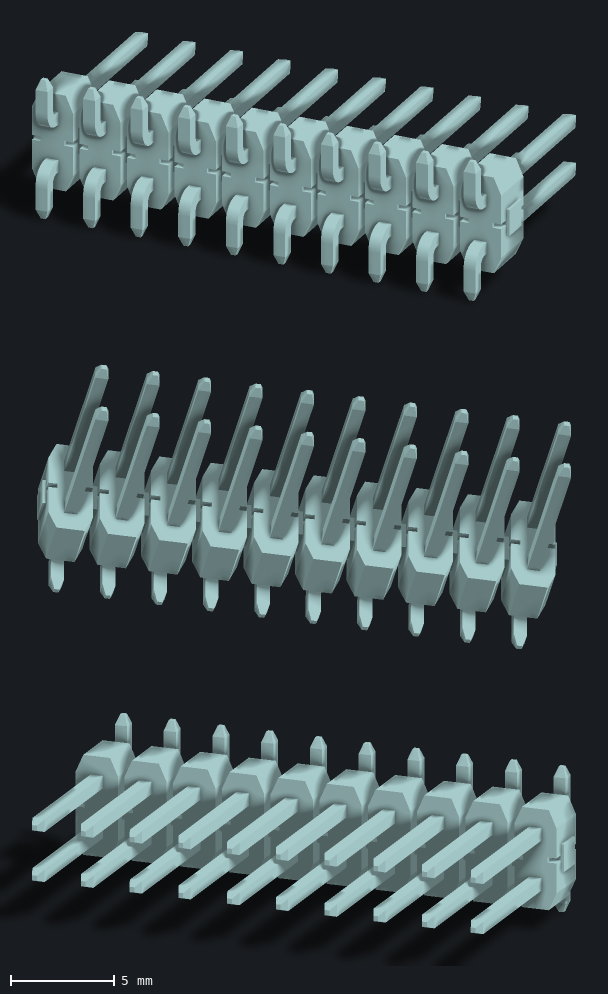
import cadquery as cq

PITCH = 2.54
COLUMNS = 10

BLOCK_WIDTH = 2.2
BLOCK_DEPTH = PITCH
BLOCK_HEIGHT = 2 * PITCH
CHAMFER_X = 0.4
CHAMFER_Z = 0.89
NOTCH_DEPTH = 0.46
NOTCH_HEIGHT = 0.25

BAR_SIZE = 1.4
BAR_LENGTH = COLUMNS * PITCH

PIN_SIZE = 0.635
PIN_REAR_LENGTH = 8.13
TAIL_REACH = 1.27
OVERALL_HEIGHT = 7.37
BEND_INNER_RADIUS = 0.381
TIP_LENGTH = 0.508
TIP_SIZE = 0.254

BEND_OUTER_RADIUS = BEND_INNER_RADIUS + PIN_SIZE
BLOCK_FRONT = -BLOCK_DEPTH / 2
PIN_REAR_END = BLOCK_DEPTH / 2 + PIN_REAR_LENGTH
TAIL_FRONT = BLOCK_FRONT - TAIL_REACH
TAIL_CENTER = TAIL_FRONT + PIN_SIZE / 2
ROW_Z = PITCH / 2
TAIL_END = OVERALL_HEIGHT / 2


def make_block():
    """One insulator block with chamfered long edges and a notch in each side."""
    side = BLOCK_WIDTH / 2
    top = BLOCK_HEIGHT / 2
    flat = side - CHAMFER_X
    shoulder = top - CHAMFER_Z
    outline = [
        (-flat, -top),
        (flat, -top),
        (side, -shoulder),
        (side, shoulder),
        (flat, top),
        (-flat, top),
        (-side, shoulder),
        (-side, -shoulder),
    ]
    block = cq.Workplane("XZ").polyline(outline).close().extrude(BLOCK_DEPTH / 2, both=True)
    notches = (
        cq.Workplane("XZ")
        .pushPoints([(-side, 0), (side, 0)])
        .rect(2 * NOTCH_DEPTH, NOTCH_HEIGHT)
        .extrude(BLOCK_DEPTH / 2, both=True)
    )
    return block.cut(notches)


def make_tip(base_center, direction):
    """Square pin point that tapers from base_center along direction."""
    plane = cq.Plane(origin=base_center, xDir=(1, 0, 0), normal=direction)
    return (
        cq.Workplane(plane)
        .rect(PIN_SIZE, PIN_SIZE)
        .workplane(offset=TIP_LENGTH)
        .rect(TIP_SIZE, TIP_SIZE)
        .loft(ruled=True)
    )


def make_upper_pin():
    """Pin of the upper row: straight along Y, then bent up to a vertical tail."""
    rear_base = PIN_REAR_END - TIP_LENGTH
    tail_base = TAIL_END - TIP_LENGTH
    pin_bottom = ROW_Z - PIN_SIZE / 2
    pin_top = ROW_Z + PIN_SIZE / 2
    tail_back = TAIL_FRONT + PIN_SIZE
    bend_y = TAIL_FRONT + BEND_OUTER_RADIUS
    bend_z = pin_bottom + BEND_OUTER_RADIUS
    shank = (
        cq.Workplane("YZ")
        .moveTo(rear_base, pin_bottom)
        .lineTo(bend_y, pin_bottom)
        .radiusArc((TAIL_FRONT, bend_z), BEND_OUTER_RADIUS)
        .lineTo(TAIL_FRONT, tail_base)
        .lineTo(tail_back, tail_base)
        .lineTo(tail_back, bend_z)
        .radiusArc((bend_y, pin_top), -BEND_INNER_RADIUS)
        .lineTo(rear_base, pin_top)
        .close()
        .extrude(PIN_SIZE / 2, both=True)
    )
    rear_tip = make_tip((0, rear_base, ROW_Z), (0, 1, 0))
    tail_tip = make_tip((0, TAIL_CENTER, tail_base), (0, 0, 1))
    return shank.union(rear_tip).union(tail_tip)


def make_header():
    """Joining bar with a block and a mirrored pair of pins at every column."""
    upper_pin = make_upper_pin()
    lower_pin = upper_pin.mirror("XY")
    column = make_block().union(upper_pin).union(lower_pin)
    header = cq.Workplane("XY").box(BAR_LENGTH, BAR_SIZE, BAR_SIZE)
    for index in range(COLUMNS):
        x = (index - (COLUMNS - 1) / 2) * PITCH
        header = header.union(column.translate((x, 0, 0)))
    return header


result = make_header()